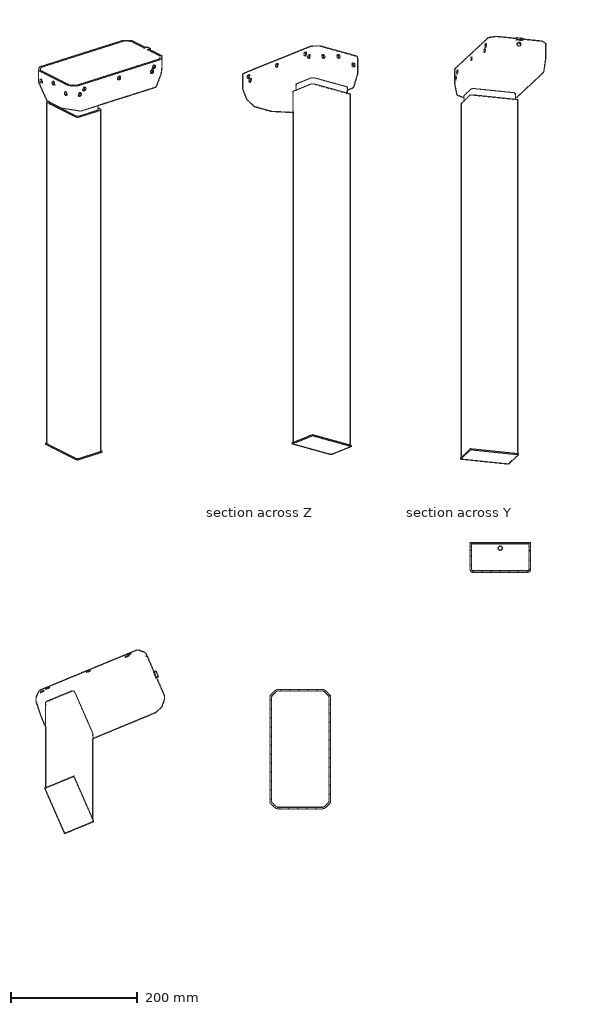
import cadquery as cq

TOTAL_HEIGHT = 650
HEAD_WIDTH = 96.0
OVERALL_DEPTH = 192.5
LID_TAB_REACH = 3.0
HEAD_DEPTH = OVERALL_DEPTH - LID_TAB_REACH

HEAD_HEIGHT = 47.5
WALL = 2.9
EDGE_RADIUS = 5.0
CORNER_CHAMFER = 10.0
BEVEL_START_DEPTH = 8.5
BEVEL_RUN_X = 34.0
BEVEL_RUN_Y = 20.0

HOLE_DIAMETER = 6.2
UPPER_HOLE_DEPTH = 9.0
LOWER_HOLE_DEPTH = 16.0
SIDE_HOLE_OFFSET_Y = 70.0
LOWER_SIDE_HOLES_Y = (-79.0, 66.0)
FRONT_HOLE_OFFSET_X = 31.0

LID_THICKNESS = 2.5
LID_TAB_WIDTH = 10.0

POST_CENTRE_Y = -53.0
COLUMN_WIDTH = 80.0
COLUMN_DEPTH = 50.0
COLUMN_EDGE_RADIUS = 4.0
NECK_STEP = 2.9
NECK_WIDTH = COLUMN_WIDTH - 2 * NECK_STEP
NECK_DEPTH = COLUMN_DEPTH - 2 * NECK_STEP
NECK_EDGE_RADIUS = 5.0
NECK_HEIGHT = 12.0
FOOT_THICKNESS = 2.0

HEAD_BOTTOM_Z = TOTAL_HEIGHT - HEAD_HEIGHT
LID_BOTTOM_Z = TOTAL_HEIGHT - LID_THICKNESS
COLUMN_TOP_Z = HEAD_BOTTOM_Z - NECK_HEIGHT


def corner_half_space(side_x, side_y):
    """Block outside the sloping plane of the lower corner on the given sides (+1 or -1)."""
    bevel_height = HEAD_HEIGHT - BEVEL_START_DEPTH
    outward = (side_x / BEVEL_RUN_X, side_y / BEVEL_RUN_Y, -1 / bevel_height)
    start = (side_x * HEAD_WIDTH / 2, side_y * HEAD_DEPTH / 2, TOTAL_HEIGHT - BEVEL_START_DEPTH)
    plane = cq.Plane(origin=start, normal=outward)
    reach = 2 * HEAD_DEPTH
    return cq.Workplane(plane).rect(reach, reach).extrude(reach)


def screw_hole(plane_name, plane_place, across, depth, reach):
    """Cylinder across an upright plane, reaching the same distance to each side of it."""
    origin = (plane_place, 0, 0) if plane_name == "YZ" else (0, plane_place, 0)
    return (
        cq.Workplane(plane_name, origin=origin)
        .center(across, TOTAL_HEIGHT - depth)
        .circle(HOLE_DIAMETER / 2)
        .extrude(reach, both=True)
    )


def make_head_block():
    """Solid outer shape of the housing, with its top edge left sharp."""
    block = (
        cq.Workplane("XY", origin=(0, 0, HEAD_BOTTOM_Z))
        .rect(HEAD_WIDTH, HEAD_DEPTH)
        .extrude(HEAD_HEIGHT)
        .edges("|Z")
        .chamfer(CORNER_CHAMFER)
    )
    for side_x in (-1, 1):
        for side_y in (-1, 1):
            block = block.cut(corner_half_space(side_x, side_y))
    return block.edges("not(>Z)").fillet(EDGE_RADIUS)


def drill_screw_holes(tray):
    """Drill the screw holes through the walls of the tray."""
    tray = tray.cut(screw_hole("XZ", 0, 0, UPPER_HOLE_DEPTH, HEAD_DEPTH))
    for x in (-FRONT_HOLE_OFFSET_X, FRONT_HOLE_OFFSET_X):
        tray = tray.cut(screw_hole("XZ", -HEAD_DEPTH / 2, x, LOWER_HOLE_DEPTH, 2 * WALL))

    for y in (-SIDE_HOLE_OFFSET_Y, 0, SIDE_HOLE_OFFSET_Y):
        tray = tray.cut(screw_hole("YZ", 0, y, UPPER_HOLE_DEPTH, HEAD_WIDTH))
    for y in LOWER_SIDE_HOLES_Y:
        tray = tray.cut(screw_hole("YZ", 0, y, LOWER_HOLE_DEPTH, HEAD_WIDTH))
    return tray


def make_lid_tab():
    """Tab that runs from the lid over the back wall and out behind it."""
    inner_y = HEAD_DEPTH / 2 - WALL
    return (
        cq.Workplane("XY", origin=(0, inner_y, LID_BOTTOM_Z))
        .rect(LID_TAB_WIDTH, 2 * (WALL + LID_TAB_REACH))
        .extrude(LID_THICKNESS)
    )


def make_lid(cavity):
    """Flat plate filling the mouth of the cavity, with its tab."""
    slab = (
        cq.Workplane("XY", origin=(0, 0, LID_BOTTOM_Z))
        .rect(HEAD_WIDTH, HEAD_DEPTH)
        .extrude(LID_THICKNESS)
    )
    return cavity.intersect(slab).union(make_lid_tab())


def make_post_part(width, depth, bottom_z, top_z):
    """Upright rectangular bar on the post's centre line."""
    return (
        cq.Workplane("XY", origin=(0, POST_CENTRE_Y, bottom_z))
        .rect(width, depth)
        .extrude(top_z - bottom_z)
    )


def make_neck():
    """Smaller bar joining the column to the underside of the housing."""
    neck = make_post_part(NECK_WIDTH, NECK_DEPTH, COLUMN_TOP_Z, HEAD_BOTTOM_Z)
    return neck.edges("|Z").fillet(NECK_EDGE_RADIUS)


def make_column():
    """Long bar with rounded upright edges."""
    column = make_post_part(COLUMN_WIDTH, COLUMN_DEPTH, FOOT_THICKNESS, COLUMN_TOP_Z)
    return column.edges("|Z").fillet(COLUMN_EDGE_RADIUS)


def make_foot():
    """Sharp-cornered plate closing the bottom of the column."""
    return make_post_part(COLUMN_WIDTH, COLUMN_DEPTH, 0, FOOT_THICKNESS)


head_block = make_head_block()
tray = head_block.faces(">Z").shell(-WALL)
housing = drill_screw_holes(tray).cut(make_lid_tab())
lid = make_lid(head_block.cut(tray))
neck = make_neck()
column = make_column()
foot = make_foot()

result = cq.Compound.makeCompound([housing.val(), lid.val(), neck.val(), column.val(), foot.val()])